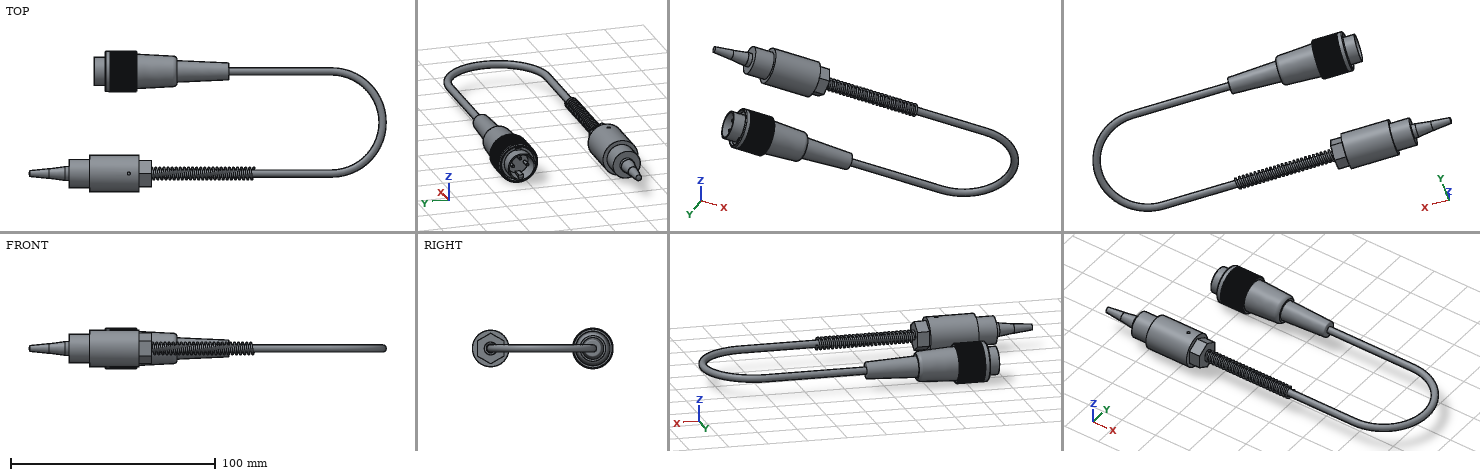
import cadquery as cq
import math

total_length = 174.7
axis_spacing = 50.0

tip_dome_height = 0.3
tip_end_d = 3.0
tip_collar_x = 9.8
tip_collar_d = 4.9
tip_cone_d = 4.7
tip_shank_x = 17.5
tip_cone_end_d = 6.8
tip_shank_d = 7.0

sleeve_x = 19.5
sleeve_d = 14.0
barrel_x = 29.5
barrel_d = 18.0
vent_x = 48.8
vent_d = 1.5
vent_depth = 1.7

hex_x = 53.8
hex_end_x = 60.0
hex_flats = 13.0

cable_d = 3.7
spring_outer_d = 6.3
spring_wire_d = 1.0
spring_turns = 25
spring_length = 50.0

shell_x = 31.8
shell_d = 14.0
socket_mouth_d = 12.5
socket_floor_d = 10.8
socket_depth = 7.0
contact_d = 1.49
contact_tip_d = 1.0
contact_circle_d = 7.3
contact_inset = 2.3
contact_angles = (0, 90, 180)
key_width = 2.5
key_top_offset = 4.4
key_inset = 1.2
flange_x = 38.3
lug_width = 2.5
lug_reach = 7.9
lug_x = 37.4

ring_x = 37.0
ring_end_x = 52.8
ring_d = 20.0
ring_bore_d = 16.8
ring_mouth_d = 18.0
ring_mouth_depth = 1.0
ring_edge = 0.5
knurl_x = 39.7
knurl_count = 120
knurl_depth = 0.5

boot_shoulder_x = 70.6
boot_front_d = 17.0
boot_shoulder_d = 15.0
boot_shoulder_bulge = 0.26
boot_neck_x = 72.3
boot_neck_d = 12.5
boot_tail_d = 10.7
boot_end_x = 97.7
boot_end_d = 8.4
boot_end_fillet = 0.5


def rod(diameter, x_start, x_end):
    """Solid cylinder along the X axis."""
    return cq.Workplane("YZ", origin=(x_start, 0, 0)).circle(diameter / 2).extrude(x_end - x_start)


def turned(outline):
    """Turn a closed half outline about the X axis."""
    return outline.close().revolve(360, (0, 0, 0), (1, 0, 0))


def on_plug_axis(body):
    return body.translate((0, axis_spacing, 0))


def make_tip():
    """Two stepped cones with a slightly domed end and a straight shank."""
    dome_radius = ((tip_end_d / 2) ** 2 + tip_dome_height**2) / (2 * tip_dome_height)
    half_angle = math.asin(tip_end_d / 2 / dome_radius) / 2
    dome_mid = (dome_radius * (1 - math.cos(half_angle)), dome_radius * math.sin(half_angle))
    outline = (
        cq.Workplane("XY")
        .moveTo(0, 0)
        .threePointArc(dome_mid, (tip_dome_height, tip_end_d / 2))
        .lineTo(tip_collar_x, tip_collar_d / 2)
        .lineTo(tip_collar_x, tip_cone_d / 2)
        .lineTo(tip_shank_x, tip_cone_end_d / 2)
        .lineTo(tip_shank_x, tip_shank_d / 2)
        .lineTo(sleeve_x, tip_shank_d / 2)
        .lineTo(sleeve_x, 0)
    )
    return turned(outline)


def make_probe_body():
    """Stepped cylinder with a small blind vent hole on top."""
    body = rod(sleeve_d, sleeve_x, barrel_x).union(rod(barrel_d, barrel_x, hex_x))
    vent_floor = barrel_d / 2 - vent_depth
    vent = cq.Workplane("XY", origin=(vent_x, 0, vent_floor)).circle(vent_d / 2).extrude(2 * vent_depth)
    return body.cut(vent)


def make_hex_nut():
    """Hexagon with corners pointing up and down."""
    corner_d = hex_flats / math.cos(math.pi / 6)
    nut = cq.Workplane("YZ", origin=(hex_x, 0, 0)).polygon(6, corner_d).extrude(hex_end_x - hex_x)
    return nut.rotate((0, 0, 0), (1, 0, 0), 90)


def make_spring():
    """Right-handed coil around the cable, ground flat where it meets the hexagonal nut."""
    coil_radius = (spring_outer_d - spring_wire_d) / 2
    pitch = spring_length / spring_turns
    helix = cq.Wire.makeHelix(pitch, spring_length, coil_radius)
    wire_plane = cq.Plane(
        origin=(coil_radius, 0, 0),
        xDir=(1, 0, 0),
        normal=(0, -2 * math.pi * coil_radius, pitch),
    )
    coil = cq.Workplane(wire_plane).circle(spring_wire_d / 2).sweep(cq.Workplane(obj=helix), isFrenet=True)
    coil = coil.rotate((0, 0, 0), (0, 1, 0), 90).rotate((0, 0, 0), (1, 0, 0), 90)
    coil = coil.translate((hex_end_x, 0, 0))
    return coil.cut(rod(2 * spring_outer_d, hex_x, hex_end_x))


def make_cable():
    """Two straight runs joined by a half-circle loop."""
    loop_radius = axis_spacing / 2
    loop_x = total_length - loop_radius - cable_d / 2
    path = (
        cq.Workplane("XY")
        .moveTo(hex_end_x, 0)
        .lineTo(loop_x, 0)
        .threePointArc((loop_x + loop_radius, loop_radius), (loop_x, axis_spacing))
        .lineTo(boot_end_x, axis_spacing)
    )
    return cq.Workplane("YZ", origin=(hex_end_x, 0, 0)).circle(cable_d / 2).sweep(path)


def make_plug_shell():
    """Keyed socket shell with contacts, on a flange that fills the coupling ring."""
    floor_x = shell_x + socket_depth
    shell = rod(shell_d, shell_x, flange_x).union(rod(ring_bore_d, flange_x, ring_end_x))
    socket = (
        cq.Workplane("XY")
        .moveTo(shell_x, 0)
        .lineTo(shell_x, socket_mouth_d / 2)
        .lineTo(floor_x, socket_floor_d / 2)
        .lineTo(floor_x, 0)
    )
    shell = shell.cut(turned(socket))

    contact = rod(contact_d, shell_x + contact_inset, floor_x + contact_d)
    contact = contact.faces("<X").chamfer((contact_d - contact_tip_d) / 2)
    contact = contact.translate((0, contact_circle_d / 2, 0))
    for angle in contact_angles:
        shell = shell.union(contact.rotate((0, 0, 0), (1, 0, 0), angle))

    key_x = shell_x + key_inset
    key_depth = (socket_mouth_d + shell_d) / 4 - key_top_offset
    key = cq.Workplane("XY").box(floor_x - key_x, key_width, key_depth, centered=(False, True, False))
    shell = shell.union(key.translate((key_x, 0, -key_top_offset - key_depth)))

    lugs = cq.Workplane("XY").box(flange_x - lug_x, lug_width, 2 * lug_reach, centered=(False, True, True))
    lugs = lugs.translate((lug_x, 0, 0)).cut(rod(shell_d, lug_x, flange_x))
    return on_plug_axis(shell.union(lugs))


def make_coupling_ring():
    """Ring with a plain front rim, V-shaped knurling behind it and a flared mouth."""
    blank = rod(ring_d, ring_x, ring_end_x).edges().chamfer(ring_edge)
    crest = ring_d / 2
    points = []
    for i in range(2 * knurl_count):
        radius = crest - knurl_depth * (i % 2)
        angle = math.pi * i / knurl_count
        points.append((radius * math.cos(angle), radius * math.sin(angle)))
    knurled = cq.Workplane("YZ", origin=(knurl_x, 0, 0)).polyline(points).close().extrude(ring_end_x - knurl_x)
    ring = blank.intersect(knurled.union(rod(2 * ring_d, ring_x, knurl_x)))

    mouth = (
        cq.Workplane("XY")
        .moveTo(ring_x, 0)
        .lineTo(ring_x, ring_mouth_d / 2)
        .lineTo(ring_x + ring_mouth_depth, ring_bore_d / 2)
        .lineTo(ring_end_x, ring_bore_d / 2)
        .lineTo(ring_end_x, 0)
    )
    return on_plug_axis(ring.cut(turned(mouth)))


def make_boot():
    """Tapered grip with a rounded shoulder and a thinner tapered tail."""
    outline = (
        cq.Workplane("XY")
        .moveTo(ring_end_x, 0)
        .lineTo(ring_end_x, boot_front_d / 2)
        .lineTo(boot_shoulder_x, boot_shoulder_d / 2)
        .sagittaArc((boot_neck_x, boot_neck_d / 2), boot_shoulder_bulge)
        .lineTo(boot_neck_x, boot_tail_d / 2)
        .lineTo(boot_end_x, boot_end_d / 2)
        .lineTo(boot_end_x, 0)
    )
    return on_plug_axis(turned(outline).faces(">X").edges().fillet(boot_end_fillet))


tip = make_tip()
probe_body = make_probe_body()
hex_nut = make_hex_nut()
spring = make_spring()
cable = make_cable()
plug_shell = make_plug_shell()
coupling_ring = make_coupling_ring()
boot = make_boot()

result = cq.Compound.makeCompound(
    [
        tip.val(),
        probe_body.val(),
        hex_nut.val(),
        spring.val(),
        cable.val(),
        plug_shell.val(),
        coupling_ring.val(),
        boot.val(),
    ]
)